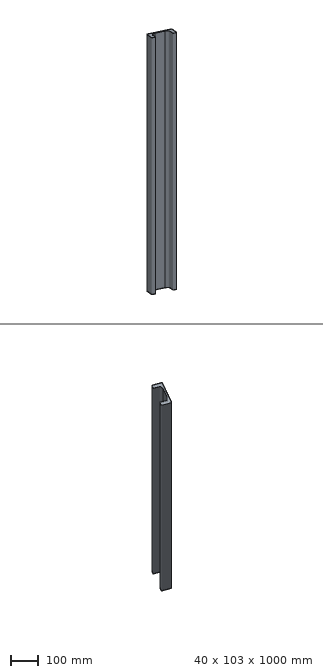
import cadquery as cq

length = 1000.0
depth = 40.0
width = 103.0

web_thickness = 7.0
flange_thickness = 16.0

slope_depth = 5.0
slope_length = 15.0

outer_radius = 4.0
tip_inner_radius = 2.0
root_radius = 4.0

half_width = width / 2
inner_half_width = half_width - flange_thickness
slope_start = inner_half_width - slope_length
slope_end = web_thickness + slope_depth

channel = (
    cq.Workplane("XY")
    .polyline([
        (0, -half_width),
        (depth, -half_width),
        (depth, -inner_half_width),
        (slope_end, -inner_half_width),
        (web_thickness, -slope_start),
        (web_thickness, slope_start),
        (slope_end, inner_half_width),
        (depth, inner_half_width),
        (depth, half_width),
        (0, half_width),
    ])
    .close()
    .extrude(length)
)



def round_long_edges(body, x, half_y, radius):
    """Round the two lengthwise edges at x and y = +/- half_y."""
    for y in (-half_y, half_y):
        edge = cq.selectors.NearestToPointSelector((x, y, length / 2))
        body = body.edges("|Z").edges(edge).fillet(radius)
    return body


channel = round_long_edges(channel, 0, half_width, outer_radius)
channel = round_long_edges(channel, depth, half_width, outer_radius)

channel = round_long_edges(channel, depth, inner_half_width, tip_inner_radius)

channel = round_long_edges(channel, slope_end, inner_half_width, root_radius)

result = channel